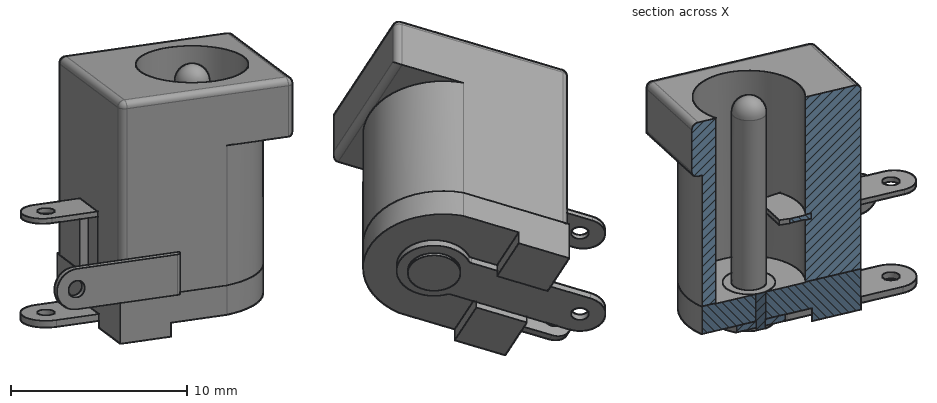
import cadquery as cq
import math


total_height = 14.5
width = 9.0
front_y = -6.4
back_y = 4.4
tip_y = -10.5

base_top = 2.61
foot_height = 0.83
foot_length = 3.15

rounding_start_y = 0.2

overhang_bottom = 11.01
overhang = 0.4
edge_radius = 0.4
socket_diameter = 6.4
slot_depth = 0.5

pin_diameter = 2.0
rivet_diameter = 3.0
rivet_bottom = 0.24

eyelet_diameter = 1.0

bottom_terminal_width = 2.9
bottom_terminal_thickness = 0.42
bottom_ring_radius = 2.13
bottom_neck_radius = 0.25

spring_terminal_width = 2.5
spring_terminal_thickness = 0.31
spring_terminal_top = 6.93
blade_root_width = 3.35
blade_tip_width = 2.74
blade_tip_y = -1.24

side_terminal_height = 2.43
side_terminal_thickness = 0.4
side_terminal_back_y = -2.77
side_terminal_bend_radius = 0.3

wall_back_y = back_y - overhang
socket_radius = socket_diameter / 2
bottom_terminal_bottom = foot_height - bottom_terminal_thickness
eyelet_y = tip_y + bottom_terminal_width / 2


def box(x_size, y_min, y_max, z_min, z_max):
    """A box centred on X = 0 that spans the given Y and Z limits."""
    return (
        cq.Workplane("XY", origin=(0, (y_min + y_max) / 2, z_min))
        .box(x_size, y_max - y_min, z_max - z_min, centered=(True, True, False))
    )


def cylinder(diameter, z_min, z_max, y=0):
    """An upright cylinder at X = 0."""
    return cq.Workplane("XY", origin=(0, y, z_min)).circle(diameter / 2).extrude(z_max - z_min)


def trunk(z_min, z_max):
    """The lower block of the jack, with one wide arc across the back."""
    return (
        cq.Workplane("XY", origin=(0, 0, z_min))
        .moveTo(-width / 2, front_y)
        .lineTo(width / 2, front_y)
        .lineTo(width / 2, rounding_start_y)
        .threePointArc((0, wall_back_y), (-width / 2, rounding_start_y))
        .close()
        .extrude(z_max - z_min)
    )


def tongue(tongue_width, inner_y, z_min, z_max):
    """A flat strip that ends in a half circle at the terminal tips."""
    end_y = tip_y + tongue_width / 2
    strip = box(tongue_width, end_y, inner_y, z_min, z_max)
    return strip.union(cylinder(tongue_width, z_min, z_max, end_y))


def make_spring_terminal():
    """The upper terminal: a strip through the housing wall, ending in a tapered blade in the socket."""
    bottom = spring_terminal_top - spring_terminal_thickness
    strip = tongue(spring_terminal_width, -socket_radius, bottom, spring_terminal_top)
    blade = (
        cq.Workplane("XY", origin=(0, 0, bottom))
        .moveTo(-blade_root_width / 2, -socket_radius)
        .lineTo(blade_root_width / 2, -socket_radius)
        .lineTo(blade_tip_width / 2, blade_tip_y)
        .lineTo(-blade_tip_width / 2, blade_tip_y)
        .close()
        .extrude(spring_terminal_thickness)
    )
    eyelet = cylinder(eyelet_diameter, bottom, spring_terminal_top, eyelet_y)
    return strip.union(blade).cut(eyelet)


def make_bottom_terminal():
    """The terminal under the base: a strip that widens to a ring around the pin's rivet."""
    strip = tongue(bottom_terminal_width, 0, bottom_terminal_bottom, foot_height)
    ring = cylinder(2 * bottom_ring_radius, bottom_terminal_bottom, foot_height)
    neck_y = -math.sqrt(bottom_ring_radius**2 - (bottom_terminal_width / 2) ** 2)
    neck_margin = 0.15
    neck_zone = cq.selectors.BoxSelector(
        (-width, neck_y - neck_margin, 0),
        (width, neck_y + neck_margin, base_top),
    )
    plate = strip.union(ring).edges("|Z").edges(neck_zone).fillet(bottom_neck_radius)
    eyelet = cylinder(eyelet_diameter, bottom_terminal_bottom, foot_height, eyelet_y)
    rivet_hole = cylinder(rivet_diameter, bottom_terminal_bottom, foot_height)
    return plate.cut(eyelet).cut(rivet_hole)


def make_side_terminal():
    """The upright terminal that lies flat on the housing's +X side."""
    end_radius = side_terminal_height / 2
    end_y = tip_y + end_radius
    middle_z = base_top + end_radius
    outer_x = width / 2 + side_terminal_thickness
    face = cq.Workplane("YZ", origin=(width / 2, 0, 0))
    strip = (
        face.moveTo(end_y, base_top)
        .lineTo(side_terminal_back_y, base_top)
        .lineTo(side_terminal_back_y, base_top + side_terminal_height)
        .lineTo(end_y, base_top + side_terminal_height)
        .threePointArc((tip_y, middle_z), (end_y, base_top))
        .close()
        .extrude(side_terminal_thickness)
    )
    back_outer_edge = cq.selectors.NearestToPointSelector((outer_x, side_terminal_back_y, middle_z))
    strip = strip.edges(back_outer_edge).fillet(side_terminal_bend_radius)
    eyelet = face.center(end_y, middle_z).circle(eyelet_diameter / 2).extrude(side_terminal_thickness)
    return strip.cut(eyelet)


def make_pin():
    """The centre pin: a round-ended rod on a thicker rivet that passes through base and terminal."""
    pin_radius = pin_diameter / 2
    tip_centre_z = total_height - pin_radius
    rivet = cylinder(rivet_diameter, rivet_bottom, base_top)
    rod = cylinder(pin_diameter, base_top, tip_centre_z)
    tip = cq.Workplane("XY", origin=(0, 0, tip_centre_z)).sphere(pin_radius)
    return rivet.union(rod).union(tip)


def make_base():
    """The base plate with a foot on each side of the bottom terminal."""
    plate = trunk(foot_height, base_top)
    feet = box(width, front_y, front_y + foot_length, 0, foot_height)
    gap = box(bottom_terminal_width, front_y, front_y + foot_length, 0, foot_height)
    rivet_hole = cylinder(rivet_diameter, foot_height, base_top)
    return plate.union(feet.cut(gap)).cut(rivet_hole)


def make_housing(spring_terminal):
    """The housing: an overhanging head on the trunk, with the socket and the spring terminal's slot."""
    head = (
        box(width, front_y, back_y, overhang_bottom, total_height)
        .edges("|Z or >Z or (<Z and >Y)")
        .fillet(edge_radius)
    )
    lower = trunk(base_top, overhang_bottom).edges("|Z and <Y").fillet(edge_radius)
    socket = cylinder(socket_diameter, base_top, total_height)
    slot = box(spring_terminal_width, front_y, front_y + slot_depth, base_top, spring_terminal_top)
    return head.union(lower).cut(socket).cut(slot).cut(spring_terminal)


spring_terminal = make_spring_terminal()
bottom_terminal = make_bottom_terminal()
side_terminal = make_side_terminal()
pin = make_pin()
base = make_base()
housing = make_housing(spring_terminal)

result = cq.Compound.makeCompound(
    [
        housing.val(),
        base.val(),
        pin.val(),
        spring_terminal.val(),
        bottom_terminal.val(),
        side_terminal.val(),
    ]
)